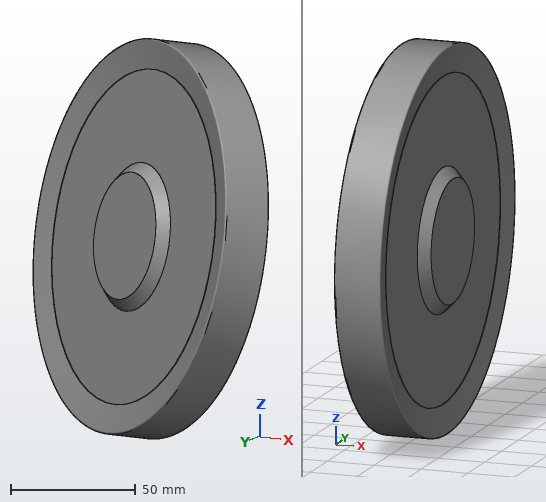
import cadquery as cq

outer_radius = 80.0
tyre_width = 20.0
hub_width = 24.0

tyre_edge_fillet = 0.6
tyre_inner_radius = 67.8
tyre_lip = 0.24

web_width = 15.4
hub_base_radius = 30.0
hub_face_radius = 25.8


def revolve_about_x(half_profile):
    """Mirror (x, radius) points, listed from the axis outward on the -X side, and revolve about X."""
    mirrored = [(-x, radius) for x, radius in reversed(half_profile)]
    return (
        cq.Workplane("XY")
        .polyline(half_profile + mirrored)
        .close()
        .revolve(360, (0, 0, 0), (1, 0, 0))
    )


def make_tyre():
    """Ring whose side faces slope inward to a low lip around the web, with both outer edges rounded."""
    inner_half_width = web_width / 2 + tyre_lip
    ring = revolve_about_x([
        (-inner_half_width, tyre_inner_radius),
        (-tyre_width / 2, outer_radius),
    ])
    return ring.edges("<X or >X").fillet(tyre_edge_fillet)


def make_wheel_disc():
    """Flat web filling the tyre, with a conical hub boss on both sides."""
    return revolve_about_x([
        (-hub_width / 2, 0),
        (-hub_width / 2, hub_face_radius),
        (-web_width / 2, hub_base_radius),
        (-web_width / 2, tyre_inner_radius),
    ])


tyre = make_tyre()
wheel_disc = make_wheel_disc()

result = cq.Compound.makeCompound([tyre.val(), wheel_disc.val()])